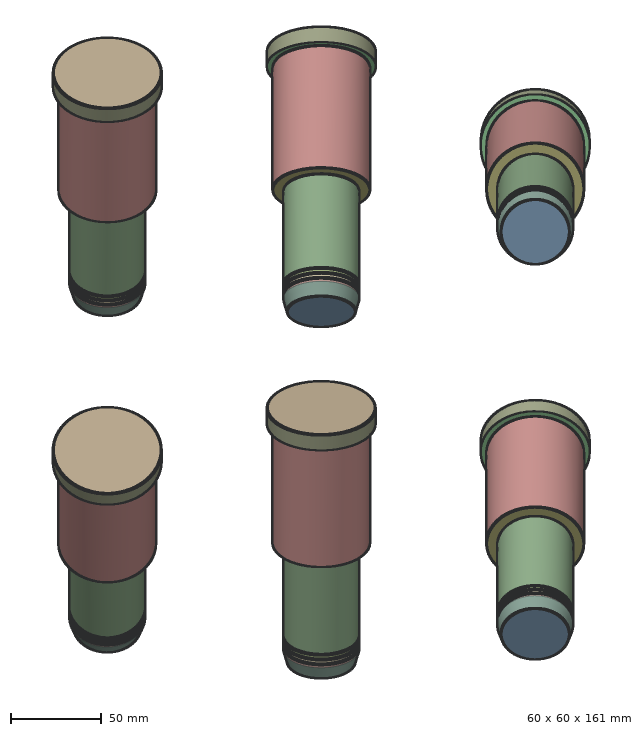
import cadquery as cq

total_height = 161.0
head_diameter = 60.0
head_height = 10.0
body_diameter = 54.0
body_bottom = 75.0
shank_diameter = 42.0

edge_chamfer = 0.5
head_chamfer = 0.6
neck_depth = 0.5
body_neck_height = 0.5
body_neck_taper = 0.5
shank_neck_taper = 1.0

taper_height = 8.2
tip_diameter = 38.0
tip_chamfer = 0.5

groove_depth = 0.5
groove_width = 1.1
groove_pitch = 3.0
lowest_groove_top = 11.0
groove_count = 3
groove_tops = [lowest_groove_top + groove_pitch * index for index in range(groove_count)]


def cylinder(diameter, bottom, top):
    return cq.Workplane("XY").workplane(offset=bottom).circle(diameter / 2).extrude(top - bottom)


def make_head():
    head = cylinder(head_diameter, total_height - head_height, total_height)
    return head.faces(">Z").edges().chamfer(head_chamfer)


def make_body():
    body = cylinder(body_diameter, body_bottom, total_height - head_height)
    return body.faces("<Z").edges().chamfer(edge_chamfer)


def revolve_profile(profile):
    """Revolve a closed (radius, height) outline about the part axis."""
    return cq.Workplane("XZ").polyline(profile).close().revolve(360, (0, 0), (0, 1))


def make_shank():
    """Revolve the shank with its tapered lead-in and chamfered tip."""
    tip_radius = tip_diameter / 2
    shank_radius = shank_diameter / 2
    profile = [
        (0, 0),
        (tip_radius - tip_chamfer, 0),
        (tip_radius, tip_chamfer),
        (shank_radius, taper_height),
        (shank_radius, body_bottom),
        (0, body_bottom),
    ]
    return revolve_profile(profile)


def body_neck_cutter():
    """Ring under the head: a straight neck that tapers back out to the body diameter."""
    radius = body_diameter / 2
    shoulder = total_height - head_height
    neck_bottom = shoulder - body_neck_height
    return revolve_profile([
        (radius, shoulder),
        (radius - neck_depth, shoulder),
        (radius - neck_depth, neck_bottom),
        (radius, neck_bottom - body_neck_taper),
    ])


def shank_neck_cutter():
    """Ring under the body: a square upper shoulder, then a taper out to the shank diameter."""
    radius = shank_diameter / 2
    return revolve_profile([
        (radius, body_bottom),
        (radius - neck_depth, body_bottom),
        (radius, body_bottom - shank_neck_taper),
    ])


def groove_cutter(top):
    """V-shaped ring groove in the shank."""
    radius = shank_diameter / 2
    return revolve_profile([
        (radius, top),
        (radius - groove_depth, top - groove_width / 2),
        (radius, top - groove_width),
    ])


result = make_head().union(make_body()).union(make_shank())
result = result.cut(body_neck_cutter()).cut(shank_neck_cutter())
for groove_top in groove_tops:
    result = result.cut(groove_cutter(groove_top))